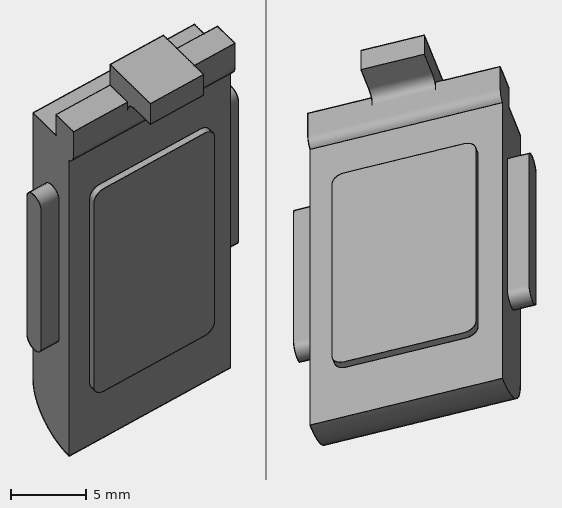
import cadquery as cq
import math

plate_thickness = 4.0
plate_width = 13.4
ledge_height = 30.0
toe_radius = plate_thickness

neck_front = 2.55
neck_back = 4.5
neck_top = 32.0
neck_arc_radius = 1.0
neck_arc_start = 29.6
hook_width = 4.42
hook_tip = 7.0
hook_top = 34.0
hook_fillet = 0.78

overall_width = 16.4
rib_width = 1.55
rib_length = 15.03
rib_center_x = 2.1
rib_center_z = 17.25
rib_height = (overall_width - plate_width) / 2

pad_margin = 1.7
pad_width = plate_width - 2 * pad_margin
pad_length = 19.72
pad_center_z = 15.0
pad_corner_radius = 0.85
pad_thickness = neck_back - plate_thickness


def extrude_across(outline, width):
    """Extrude an XZ outline symmetrically about Y = 0."""
    return outline.extrude(width / 2, both=True)


def make_plate():
    """Plate with a rounded toe and a stepped neck whose back curves into the plate."""
    toe_offset = toe_radius * math.sqrt(0.5)
    toe_middle = (toe_radius - toe_offset, toe_radius - toe_offset)

    arc_center_x = neck_back - neck_arc_radius
    arc_end_angle = math.acos((plate_thickness - arc_center_x) / neck_arc_radius)

    def neck_arc_point(angle):
        return (
            arc_center_x + neck_arc_radius * math.cos(angle),
            neck_arc_start - neck_arc_radius * math.sin(angle),
        )

    outline = (
        cq.Workplane("XZ")
        .moveTo(plate_thickness, 0)
        .threePointArc(toe_middle, (0, toe_radius))
        .lineTo(0, ledge_height)
        .lineTo(neck_front, ledge_height)
        .lineTo(neck_front, neck_top)
        .lineTo(neck_back, neck_top)
        .lineTo(neck_back, neck_arc_start)
        .threePointArc(neck_arc_point(arc_end_angle / 2), neck_arc_point(arc_end_angle))
        .close()
    )
    return extrude_across(outline, plate_width)


def make_hook():
    """Hook with a concave fillet between its underside and the neck back."""
    fillet_offset = hook_fillet * (1 - math.sqrt(0.5))
    fillet_middle = (neck_back + fillet_offset, neck_top - fillet_offset)
    outline = (
        cq.Workplane("XZ")
        .moveTo(neck_front, hook_top)
        .lineTo(hook_tip, hook_top)
        .lineTo(hook_tip, neck_top)
        .lineTo(neck_back + hook_fillet, neck_top)
        .threePointArc(fillet_middle, (neck_back, neck_top - hook_fillet))
        .lineTo(neck_front, neck_top - hook_fillet)
        .close()
    )
    return extrude_across(outline, hook_width)


def make_rib(side):
    """Round-ended rib standing on the plate side; side is -1 or 1 along Y."""
    return (
        cq.Workplane("XZ", origin=(rib_center_x, side * plate_width / 2, rib_center_z))
        .slot2D(rib_length, rib_width, 90)
        .extrude(-side * rib_height)
    )


def make_cover():
    """Plate, hook and both side ribs as one solid."""
    cover = make_plate().union(make_hook())
    for side in (-1, 1):
        cover = cover.union(make_rib(side))
    return cover


def make_pad():
    """Flat pad with rounded corners lying on the plate back."""
    return (
        cq.Workplane("YZ", origin=(plate_thickness, 0, pad_center_z))
        .rect(pad_width, pad_length)
        .extrude(pad_thickness)
        .edges("|X")
        .fillet(pad_corner_radius)
    )


cover = make_cover()
pad = make_pad()

result = cq.Compound.makeCompound([cover.val(), pad.val()])